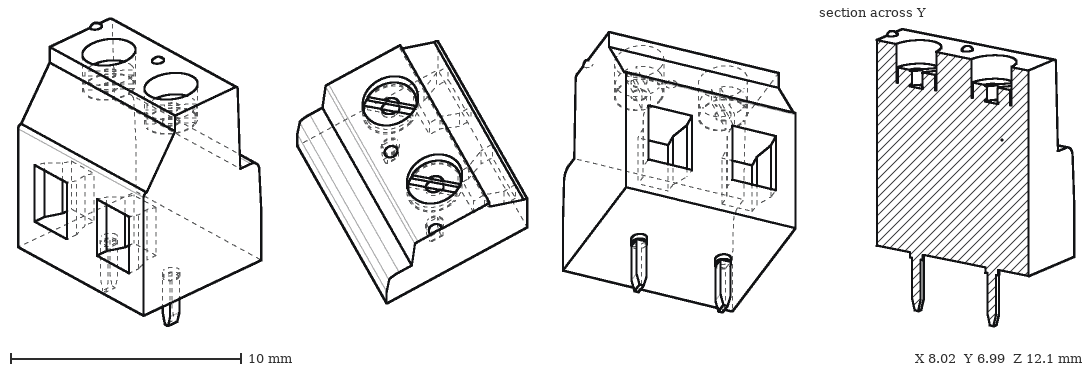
import cadquery as cq
import math


x_squeeze = 5 / 6

pole_count = 2
pole_pitch = 3.97
first_pole_x = 2.09
pole_y = 3.45
pole_xs = [first_pole_x + i * pole_pitch for i in range(pole_count)]

body_length = 8.02
body_depth = 6.99
body_height = 9.36
front_lip_height = 6.16
front_lip_radius = 0.18
slope_top_y = 1.87
slope_top_z = 8.57
tower_back_y = 5.58
tower_foot_y = 5.74
tower_round = 0.15
step_height = 5.12
step_back_y = 6.87
step_round = 0.50
back_wall_straight_height = 2.50

bore_length_y = 2.50
bore_depth = 1.05
screw_gap = 0.06
slot_width = 0.41
slot_depth = 0.70
slot_angle = math.degrees(math.atan(1 / x_squeeze))
dimple_length_y = 0.82
dimple_depth = 0.05

entry_bottom = 1.75
entry_top = 4.60
entry_width = 2.06
entry_inner_width = 1.43
entry_back_top = 4.17
entry_straight_depth = 0.57
entry_taper_end = 1.37
entry_depth = 1.90

pin_length = 2.60
pin_width = 0.48
pin_thickness = 0.56
pin_taper_start = 2.06
pin_tip_width = 0.20
collar_length_y = 0.82
collar_height = 0.24

first_nub_x = 0.10
nub_y = 4.52
nub_radius = 0.29
nub_height = 0.16


def make_housing():
    """Side profile in the YZ plane, extruded along X."""
    lip_center_z = front_lip_height - front_lip_radius
    lip_mid = front_lip_radius * math.sqrt(0.5)
    step_mid = step_round * math.sqrt(0.5)
    housing = (
        cq.Workplane("YZ")
        .lineTo(0, lip_center_z)
        .threePointArc(
            (front_lip_radius - lip_mid, lip_center_z + lip_mid),
            (front_lip_radius, front_lip_height),
        )
        .lineTo(slope_top_y, slope_top_z)
        .lineTo(slope_top_y, body_height)
        .lineTo(tower_back_y, body_height)
        .lineTo(tower_foot_y, step_height)
        .lineTo(step_back_y - step_round, step_height)
        .threePointArc(
            (step_back_y - step_round + step_mid, step_height - step_round + step_mid),
            (step_back_y, step_height - step_round),
        )
        .lineTo(body_depth, back_wall_straight_height)
        .lineTo(body_depth, 0)
        .close()
        .extrude(body_length)
    )
    tower_edge = cq.selectors.NearestToPointSelector((body_length / 2, tower_back_y, body_height))
    return housing.edges(tower_edge).fillet(tower_round)


def oval_prism(x, length_y, bottom, height):
    """Upright oval column centred on a pole."""
    half_y = length_y / 2
    return (
        cq.Workplane("XY", origin=(x, pole_y, bottom))
        .ellipse(half_y * x_squeeze, half_y)
        .extrude(height)
    )


def screw_cut(x):
    """Bore over the screw, thin gap round its head, driver slot and a shallow dimple in head and slot."""
    head_top = body_height - bore_depth
    slot_floor = head_top - slot_depth
    bore = oval_prism(x, bore_length_y, slot_floor, slot_depth + bore_depth)
    head = oval_prism(x, bore_length_y - 2 * screw_gap, slot_floor, slot_depth)
    slot = (
        cq.Workplane("XY", origin=(x, pole_y, slot_floor))
        .transformed(rotate=(0, 0, slot_angle))
        .rect(2 * bore_length_y, slot_width)
        .extrude(slot_depth)
    )
    head_dimple = oval_prism(x, dimple_length_y, head_top - dimple_depth, dimple_depth)
    slot_dimple = oval_prism(x, dimple_length_y, slot_floor - dimple_depth, dimple_depth)
    return bore.cut(head.cut(slot).cut(head_dimple)).union(slot_dimple)


def wire_entry_cut(x):
    """Funnel-shaped pocket: the sides narrow behind a straight mouth, the roof slopes to the back wall."""
    half_outer = entry_width / 2
    half_inner = entry_inner_width / 2
    plan = (
        cq.Workplane("XY", origin=(x, 0, entry_bottom))
        .moveTo(-half_outer, 0)
        .lineTo(-half_outer, entry_straight_depth)
        .lineTo(-half_inner, entry_taper_end)
        .lineTo(-half_inner, entry_depth)
        .lineTo(half_inner, entry_depth)
        .lineTo(half_inner, entry_taper_end)
        .lineTo(half_outer, entry_straight_depth)
        .lineTo(half_outer, 0)
        .close()
        .extrude(entry_top - entry_bottom)
    )
    side = (
        cq.Workplane("YZ", origin=(x, 0, 0))
        .moveTo(0, entry_bottom)
        .lineTo(0, entry_top)
        .lineTo(entry_depth, entry_back_top)
        .lineTo(entry_depth, entry_bottom)
        .close()
        .extrude(half_outer, both=True)
    )
    return plan.intersect(side)


def solder_pin(x):
    """Flat pin with a pointed tip, hanging from an oval collar."""
    half_width = pin_width / 2
    half_tip = pin_tip_width / 2
    blade = (
        cq.Workplane("XZ", origin=(x, pole_y, 0))
        .moveTo(-half_width, 0)
        .lineTo(-half_width, -pin_taper_start)
        .lineTo(-half_tip, -pin_length)
        .lineTo(half_tip, -pin_length)
        .lineTo(half_width, -pin_taper_start)
        .lineTo(half_width, 0)
        .close()
        .extrude(pin_thickness / 2, both=True)
    )
    return blade.union(oval_prism(x, collar_length_y, -collar_height, collar_height))


def marker_nub(x):
    """Low dome on the top face, squeezed along X and trimmed flush with the end of the housing."""
    sphere_radius = (nub_radius**2 + nub_height**2) / (2 * nub_height)
    sphere = cq.Workplane("XY", origin=(0, 0, nub_height - sphere_radius)).sphere(sphere_radius)
    cap_slab = cq.Workplane("XY").circle(nub_radius).extrude(nub_height)
    squeeze = cq.Matrix([[x_squeeze, 0, 0, 0], [0, 1, 0, 0], [0, 0, 1, 0]])
    dome = sphere.intersect(cap_slab).val().transformGeometry(squeeze)
    dome = cq.Workplane(dome).translate((x, nub_y, body_height))
    envelope = cq.Workplane("XY").box(body_length, body_depth, 2 * body_height, centered=False)
    return dome.intersect(envelope)


result = make_housing()
for pole_x in pole_xs:
    result = result.cut(screw_cut(pole_x))
    result = result.cut(wire_entry_cut(pole_x))
    result = result.union(solder_pin(pole_x))
    result = result.union(marker_nub(pole_x - first_pole_x + first_nub_x))